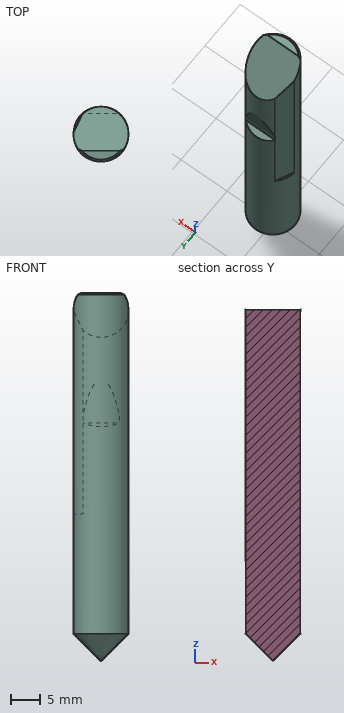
import cadquery as cq

length = 63.5
diameter = 9.5
radius = diameter / 2
tip_height = radius
top_chamfer_width = 0.4
top_chamfer_height = 0.3

bevel_edge_y = -2.85

flat_angle = 154.5
flat_depth = 0.4
flat_bottom_z = 25.4

notch_floor_y = 3.55
notch_bottom_z = 40.5
notch_floor_bottom_z = 41.15
notch_floor_top_z = 42.4
notch_top_z = 48.6


def make_body():
    """Revolve the pointed pin with its chamfered top."""
    half_profile = [
        (0, 0),
        (radius, tip_height),
        (radius, length - top_chamfer_height),
        (radius - top_chamfer_width, length),
        (0, length),
    ]
    return cq.Workplane("XZ").polyline(half_profile).close().revolve(360, (0, 0), (0, 1))


def extrude_across(outline):
    """Extrude a YZ outline along X, past both sides of the pin."""
    return cq.Workplane("YZ").polyline(outline).close().extrude(diameter, both=True)


def make_bevel_cutter():
    cut_reach = diameter - bevel_edge_y
    return extrude_across([
        (bevel_edge_y, length),
        (bevel_edge_y + cut_reach, length - cut_reach),
        (bevel_edge_y + cut_reach, length),
    ])


def make_notch_cutter():
    return extrude_across([
        (radius, notch_bottom_z),
        (notch_floor_y, notch_floor_bottom_z),
        (notch_floor_y, notch_floor_top_z),
        (radius, notch_top_z),
        (diameter, notch_top_z),
        (diameter, notch_bottom_z),
    ])


def make_flat_cutter():
    """Block whose inner face lies on the flat."""
    inner_face = radius - flat_depth
    block = cq.Workplane("XY").box(
        diameter, diameter, length - flat_bottom_z, centered=(False, True, False)
    )
    block = block.translate((inner_face, 0, flat_bottom_z))
    return block.rotate((0, 0, 0), (0, 0, 1), flat_angle)


result = make_body().cut(make_bevel_cutter()).cut(make_notch_cutter()).cut(make_flat_cutter())